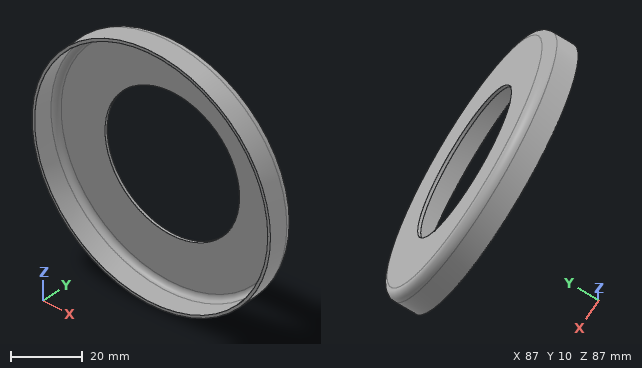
import cadquery as cq

outer_diameter = 87.0
depth = 10.0
sheet_thickness = 1.0
bore_diameter = 49.0
outer_bend_radius = 3.0

inner_bend_radius = outer_bend_radius - sheet_thickness
inner_diameter = outer_diameter - 2 * sheet_thickness


def disc_along_y(diameter, start_y, end_y):
    """Cylinder centred on the Y axis between two Y positions."""
    plane = cq.Workplane("XZ", origin=(0, start_y, 0))
    return plane.circle(diameter / 2).extrude(start_y - end_y)


def cup_body():
    """Solid disc with its closed (+Y) edge rounded."""
    return disc_along_y(outer_diameter, 0, depth).faces(">Y").edges().fillet(outer_bend_radius)


def cup_cavity():
    """Recess entering from -Y, leaving a wall and floor one sheet thick."""
    cavity = disc_along_y(inner_diameter, 0, depth - sheet_thickness)
    return cavity.faces(">Y").edges().fillet(inner_bend_radius)


bore = disc_along_y(bore_diameter, 0, depth)

result = cup_body().cut(cup_cavity()).cut(bore)